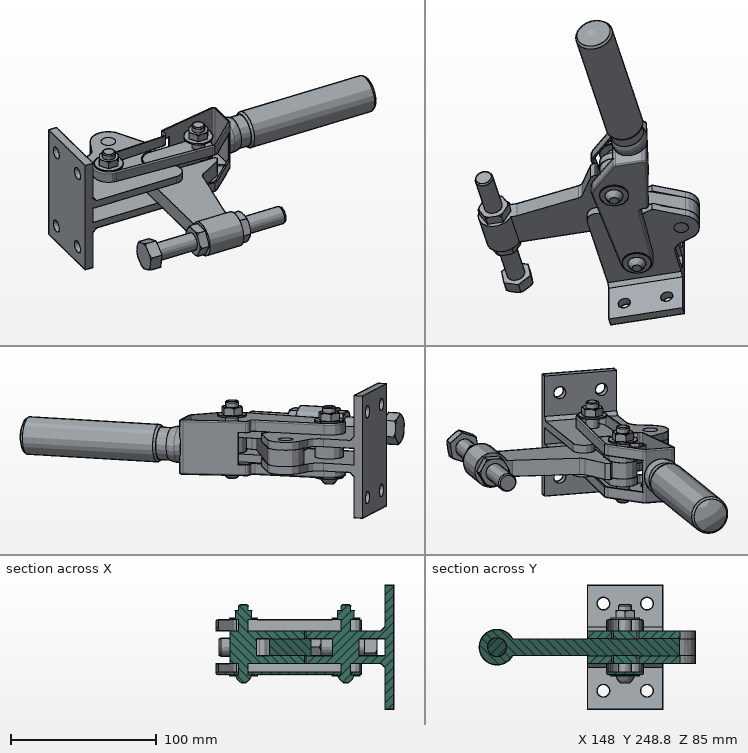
import cadquery as cq
import math


cheek_gap = 11.5
cheek_thickness = 5.5
cheek_inner = cheek_gap / 2
cheek_outer = cheek_inner + cheek_thickness
lower_bolt_y = 32.8
upper_bolt_y = 103.0
link_end_y = 70.7
ear_x, ear_y = -35.5, 52.3
ear_radius = 12.5
ear_slope = math.radians(26.5)
ear_tangent_x = ear_x - ear_radius * math.sin(ear_slope)
ear_tangent_y = ear_y + ear_radius * math.cos(ear_slope)
pivot_pin_radius = 5.0

plate_length_x = 51.8
plate_thickness = 6.2
plate_height_z = 85.0
plate_hole_radius = 4.2
plate_hole_spacing_x = 29.9
plate_hole_spacing_z = 59.7
foot_chamfer = 2.7
half_plate = plate_length_x / 2
ear_low_slope = math.radians(23.0)
ear_fillet = 10.0
notch_clearance = 0.7
shoulder_x, shoulder_y = -20.5, 75.0
shoulder_mid_x, shoulder_mid_y = -15.7, 73.0
shoulder_end_y = 71.2
horn_y = 71.7
spacer_radius = 9.7

link_radius = 10.0
notch_radius = link_radius + notch_clearance

bolt_radius = 4.5
bolt_chamfer = 0.7
bolt_top = 29.0
washer_radius = 10.0
washer_thickness = 1.0
nut_height = 5.2
nut_corner_radius = 7.5
nut_chamfer = 0.7
bolt_head_height = 4.5
bolt_head_radius = 6.2
bolt_head_mid_radius = 5.2
bolt_head_tip_radius = 3.2

boss_x = 87.8
boss_radius = 12.2
arm_bottom = 56.7
arm_top = 83.0
nose_edge_x = 10.2
nose_top_x, nose_top_y = 11.5, 111.5
nose_right_x, nose_right_y = 15.0, 109.7
neck_x, neck_y = 25.5, 91.8
bar_end_x = 73.0
arm_fillet = 5.0
arm_throat_x = -5.0
lug_end_x = -31.5

spindle_radius = 6.2
spindle_top = 120.0
spindle_tip = 1.5
spindle_nut_height = 6.7
spindle_hex_radius = 11.0
spindle_hex_chamfer = 1.0
spindle_head_bottom = 11.5
spindle_head_height = 8.7
spindle_head_turn = 21.0

wall = 1.2
floor_thickness = 2.0
handle_half_height = 19.0
rim_fillet = 1.0
frame_top = 132.0
frame_left, frame_right = -29.4, -6.5
frame_end_radius = 11.2
slot_top = 91.5
step_y = 84.4
step_left, step_right = -20.0, -13.5
bend_x, bend_y = 13.2, 111.0
side_x, side_y = 15.0, 108.0
corner_fillet = 2.5
pad_height = 1.0
pad_edge_x = -16.0
pad_bend_y = 114.5
pad_fillet = 3.0
grip_x = -18.2
grip_radius = 13.0
grip_end_radius = 11.7
grip_bottom = 148.3
grip_shoulder_y = 244.0
dome_start_y = 245.9
grip_top = 248.8
grip_chamfer = 1.7
neck_radius = 11.2
collar_top = 140.8
collar_arc_y, collar_arc_radius = 138.0, 12.2
collar_mid = 135.0
collar_radius = 12.5
collar_end_radius = 11.5


def cylinder(x, y, z_low, z_high, radius):
    return cq.Workplane("XY", origin=(x, y, z_low)).circle(radius).extrude(z_high - z_low)


def hex_prism(plane, circumradius, height, chamfer, turn):
    """Hexagon prism along the plane normal, corners bevelled at the far end."""
    prism = cq.Workplane(plane).transformed(rotate=(0, 0, turn)).polygon(6, 2 * circumradius).extrude(height)
    envelope = cq.Workplane(plane).circle(circumradius).extrude(height)
    far_end = cq.Vector(plane.origin) + plane.zDir * height
    envelope = envelope.edges(cq.NearestToPointSelector(far_end.toTuple())).chamfer(chamfer)
    return prism.intersect(envelope)


def bolt(y):
    """Shank, two washers, hexagon nut on top and domed head below."""
    seat = handle_half_height
    washer_face = seat + washer_thickness
    shank = cylinder(0, y, -washer_face, bolt_top, bolt_radius).faces(">Z").chamfer(bolt_chamfer)
    upper_washer = cylinder(0, y, seat, washer_face, washer_radius)
    lower_washer = cylinder(0, y, -washer_face, -seat, washer_radius)
    nut_plane = cq.Plane(origin=(0, y, washer_face), xDir=(0, 1, 0), normal=(0, 0, 1))
    nut = hex_prism(nut_plane, nut_corner_radius, nut_height, nut_chamfer, 0)
    head = (
        cq.Workplane("XZ", origin=(0, y, -washer_face))
        .lineTo(bolt_head_radius, 0)
        .threePointArc(
            (bolt_head_mid_radius, -bolt_head_height / 2),
            (bolt_head_tip_radius, -bolt_head_height),
        )
        .lineTo(0, -bolt_head_height)
        .close()
        .revolve(360, (0, 0, 0), (0, 1, 0))
    )
    return shank.union(upper_washer).union(lower_washer).union(nut).union(head)


def cheek(z_low):
    """Side plate with the arm ear, the link notch and a rounded horn."""
    horn_x = (half_plate + notch_radius) / 2
    horn_radius = (half_plate - notch_radius) / 2
    ear_low_x = ear_x - ear_radius * math.sin(ear_low_slope)
    ear_low_y = ear_y - ear_radius * math.cos(ear_low_slope)
    crotch_y = ear_low_y - (-half_plate - ear_low_x) * math.tan(ear_low_slope)
    profile = (
        cq.Workplane("XY", origin=(0, 0, z_low))
        .moveTo(-half_plate, 0)
        .lineTo(half_plate, 0)
        .lineTo(half_plate, horn_y)
        .threePointArc((horn_x, horn_y + horn_radius), (notch_radius, horn_y))
        .lineTo(notch_radius, link_end_y)
        .threePointArc((0, link_end_y - notch_radius), (-notch_radius, link_end_y))
        .lineTo(-notch_radius, shoulder_end_y)
        .threePointArc((shoulder_mid_x, shoulder_mid_y), (shoulder_x, shoulder_y))
        .lineTo(ear_tangent_x, ear_tangent_y)
        .threePointArc((ear_x - ear_radius, ear_y), (ear_low_x, ear_low_y))
        .lineTo(-half_plate, crotch_y)
        .close()
        .extrude(cheek_thickness)
    )
    crotch = cq.NearestToPointSelector((-half_plate, crotch_y, z_low + cheek_thickness / 2))
    ear_hole = cylinder(ear_x, ear_y, z_low, z_low + cheek_thickness, pivot_pin_radius)
    return profile.edges(crotch).fillet(ear_fillet).cut(ear_hole)


def make_base():
    """Foot plate with two cheeks; the handle pivot bolt and its spacer are part of it."""
    plate = (
        cq.Workplane("XZ")
        .rect(plate_length_x, plate_height_z)
        .extrude(-plate_thickness)
        .faces("<Y")
        .workplane(origin=(0, 0, 0))
        .rect(plate_hole_spacing_x, plate_hole_spacing_z, forConstruction=True)
        .vertices()
        .hole(2 * plate_hole_radius)
    )
    base = plate.union(cheek(cheek_inner)).union(cheek(-cheek_outer))
    for side in (1, -1):
        bevel = (
            cq.Workplane("YZ", origin=(-half_plate, 0, 0))
            .polyline([
                (plate_thickness, side * cheek_outer),
                (plate_thickness + foot_chamfer, side * cheek_outer),
                (plate_thickness, side * (cheek_outer + foot_chamfer)),
            ])
            .close()
            .extrude(plate_length_x)
        )
        base = base.union(bevel)
    spacer = cylinder(0, lower_bolt_y, -cheek_inner, cheek_inner, spacer_radius)
    return base.union(spacer).union(bolt(lower_bolt_y))


def make_arm():
    """Clamping arm with its pivot pin at one end and the spindle boss at the other."""
    nose_foot_y = ear_tangent_y + (nose_edge_x - ear_tangent_x) * math.tan(ear_slope)
    lug_end_y = ear_y - math.sqrt(ear_radius**2 - (lug_end_x - ear_x) ** 2)
    blade = (
        cq.Workplane("XY", origin=(0, 0, -cheek_inner))
        .moveTo(ear_tangent_x, ear_tangent_y)
        .lineTo(nose_edge_x, nose_foot_y)
        .lineTo(nose_edge_x, nose_top_y - nose_top_x + nose_edge_x)
        .lineTo(nose_top_x, nose_top_y)
        .lineTo(nose_right_x, nose_right_y)
        .lineTo(neck_x, neck_y)
        .lineTo(bar_end_x, arm_top)
        .lineTo(boss_x, arm_top)
        .lineTo(boss_x, arm_bottom)
        .lineTo(arm_throat_x, arm_bottom)
        .lineTo(lug_end_x, lug_end_y)
        .threePointArc((ear_x - ear_radius, ear_y), (ear_tangent_x, ear_tangent_y))
        .close()
        .extrude(cheek_gap)
    )
    for x, y in ((nose_edge_x, nose_foot_y), (neck_x, neck_y)):
        blade = blade.edges(cq.NearestToPointSelector((x, y, 0))).fillet(arm_fillet)
    boss_plane = cq.Workplane("XZ", origin=(boss_x, arm_top, 0))
    boss_length = arm_top - arm_bottom
    boss = boss_plane.circle(boss_radius).extrude(boss_length)
    bore = boss_plane.circle(spindle_radius).extrude(boss_length)
    pin = cylinder(ear_x, ear_y, -cheek_outer, cheek_outer, pivot_pin_radius)
    return blade.union(boss).cut(bore).union(pin)


def make_spindle():
    """Threaded spindle with a hexagon head and a nut on each side of the boss."""
    rod_length = spindle_top - spindle_head_bottom
    rod = (
        cq.Workplane("XZ", origin=(boss_x, spindle_top, 0))
        .circle(spindle_radius)
        .extrude(rod_length)
        .faces(">Y")
        .chamfer(spindle_tip, spindle_tip / 2)
    )
    head_top = spindle_head_bottom + spindle_head_height
    down, up = (0, -1, 0), (0, 1, 0)
    hexagons = (
        (head_top, down, spindle_head_height, spindle_head_turn),
        (arm_bottom, down, spindle_nut_height, 0),
        (arm_top, up, spindle_nut_height, 0),
    )
    for y, direction, height, turn in hexagons:
        plane = cq.Plane(origin=(boss_x, y, 0), xDir=(1, 0, 0), normal=direction)
        rod = rod.union(hex_prism(plane, spindle_hex_radius, height, spindle_hex_chamfer, turn))
    return rod


def make_links():
    """Two links joined by a spacer and the bolt that carries them in the handle."""
    spacer = cylinder(0, upper_bolt_y, -cheek_inner, cheek_inner, spacer_radius)
    links = bolt(upper_bolt_y).union(spacer)
    link_length = upper_bolt_y - link_end_y + 2 * link_radius
    for z_low in (cheek_inner, -cheek_outer):
        link = (
            cq.Workplane("XY", origin=(0, (upper_bolt_y + link_end_y) / 2, z_low))
            .slot2D(link_length, 2 * link_radius, 90)
            .extrude(cheek_thickness)
        )
        links = links.union(link)
    return links


def frame_prism(z, height):
    """Solid of the frame's full outline with rounded corners."""
    prism = (
        cq.Workplane("XY", origin=(0, 0, z))
        .moveTo(frame_left, frame_top)
        .lineTo(frame_right, frame_top)
        .lineTo(bend_x, bend_y)
        .lineTo(side_x, side_y)
        .lineTo(frame_end_radius, lower_bolt_y)
        .threePointArc((0, lower_bolt_y - frame_end_radius), (-frame_end_radius, lower_bolt_y))
        .lineTo(step_right, step_y)
        .lineTo(step_left, step_y)
        .close()
        .extrude(height)
    )
    corners = (
        (frame_left, frame_top),
        (frame_right, frame_top),
        (step_left, step_y),
        (step_right, step_y),
    )
    for x, y in corners:
        corner = cq.NearestToPointSelector((x, y, z + height / 2))
        prism = prism.edges(corner).fillet(corner_fillet)
    return prism


def make_frame():
    """Open tray with a floor, a web on the -X side and rims along the other edges."""
    frame = frame_prism(-handle_half_height, 2 * handle_half_height)
    frame = frame.faces("<Z or >Z").edges().fillet(rim_fillet)

    floor_z = floor_thickness - handle_half_height
    cavity_depth = handle_half_height - floor_z
    cavity = (
        frame_prism(floor_z, cavity_depth)
        .faces(">Z")
        .wires()
        .toPending()
        .offset2D(-wall)
        .extrude(-cavity_depth, combine=False)
    )
    frame = frame.cut(cavity)

    inner_top = frame_top - wall
    pad_edge = [
        (frame_right, inner_top),
        (pad_edge_x, pad_bend_y),
        (pad_edge_x, slot_top),
        (frame_left, slot_top),
    ]
    opening = (
        cq.Workplane("XY", origin=(0, 0, -cheek_outer))
        .polyline([(frame_left, 0), (-frame_left, 0), (-frame_left, inner_top), *pad_edge])
        .close()
        .extrude(2 * cheek_outer)
    )
    frame = frame.cut(opening)

    pad = (
        cq.Workplane("XY", origin=(0, 0, floor_z))
        .polyline([(frame_left, inner_top), *pad_edge])
        .close()
        .extrude(pad_height)
        .edges(cq.NearestToPointSelector((pad_edge_x, slot_top, floor_z + pad_height / 2)))
        .fillet(pad_fillet)
    )
    frame = frame.union(pad.intersect(cavity))

    for y in (lower_bolt_y, upper_bolt_y):
        frame = frame.cut(cylinder(0, y, -handle_half_height, floor_z, bolt_radius))
    return frame


def make_grip():
    """Round grip with a domed end, a neck and a bulged collar."""
    grip_end_y = frame_top - wall
    dome_mid_radius = grip_end_radius / 2
    dome_rise = grip_top - dome_start_y
    dome_sphere = (grip_end_radius**2 + dome_rise**2) / (2 * dome_rise)
    dome_mid_y = grip_top - dome_sphere + math.sqrt(dome_sphere**2 - dome_mid_radius**2)
    return (
        cq.Workplane("XY", origin=(grip_x, 0, 0))
        .moveTo(0, grip_end_y)
        .lineTo(collar_end_radius, grip_end_y)
        .lineTo(collar_radius, collar_mid)
        .threePointArc((collar_arc_radius, collar_arc_y), (neck_radius, collar_top))
        .lineTo(neck_radius, grip_bottom)
        .lineTo(grip_end_radius, grip_bottom)
        .lineTo(grip_radius, grip_bottom + grip_chamfer)
        .lineTo(grip_radius, grip_shoulder_y)
        .lineTo(grip_end_radius, dome_start_y)
        .threePointArc((dome_mid_radius, dome_mid_y), (0, grip_top))
        .close()
        .revolve(360, (0, 0, 0), (0, 1, 0))
    )


base = make_base()
arm = make_arm()
spindle = make_spindle()
links = make_links()
handle = make_frame().union(make_grip())

result = cq.Compound.makeCompound([
    base.val(),
    arm.val(),
    spindle.val(),
    links.val(),
    handle.val(),
])